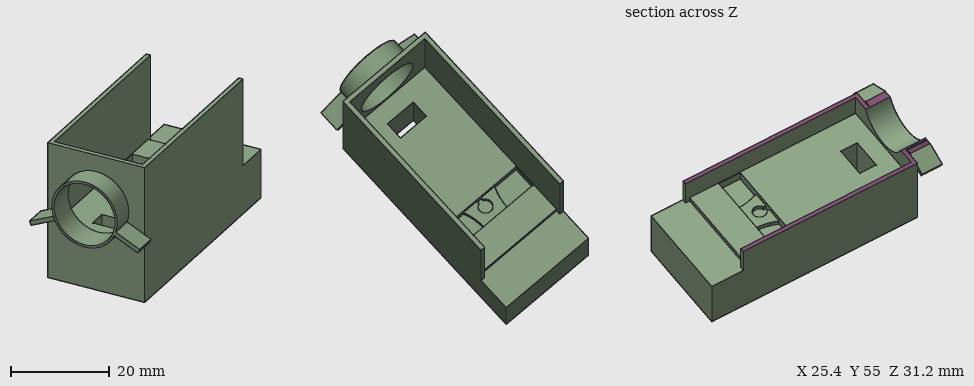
import cadquery as cq
import math

wall = 1.0
cavity_width = 20.3
cavity_length = 40.3
housing_width = cavity_width + 2 * wall
housing_length = 50.0
housing_height = 31.2
wall_length = cavity_length + 2 * wall
shelf_height = 11.2
floor_height = shelf_height + wall
cavity_rear = wall + cavity_length

window_width = 7.0
window_length = 4.0
window_front = 5.0

slot_width = 20.0
slot_length = 5.2
slot_depth = 2.0
slot_front = 29.1
slot_rear = slot_front + slot_length
slot_floor = floor_height - slot_depth
block_height = 1.0
block_rear_width = 6.3
block_front_width = 8.5
keyhole_diameter = 3.0
keyhole_neck = 1.2
keyhole_y = 31.05

bore_diameter = 14.0
collar_diameter = 15.0
collar_length = 5.0
bore_height = 19.9

overall_width = 25.35
wing_thickness = 1.0
wing_slope = math.radians(25)
wing_face_gap = 0.1
wing_collar_gap = 0.05
loose_wing_root = collar_diameter / 2 + wing_collar_gap
wing_tip = (overall_width / 2 - wing_thickness * math.sin(wing_slope)) / math.cos(wing_slope)



def box(width, front, rear, bottom, top):
    """Block centred on X between the given Y and Z limits."""
    return (
        cq.Workplane("XY", origin=(0, front, bottom))
        .box(width, rear - front, top - bottom, centered=(True, False, False))
    )


def make_tray():
    base = box(housing_width, 0, housing_length, 0, shelf_height)
    shell = box(housing_width, 0, wall_length, shelf_height, housing_height)
    cavity = box(cavity_width, wall, wall_length, shelf_height, housing_height)
    floor = box(cavity_width, wall, cavity_rear, shelf_height, floor_height)
    window = box(window_width, window_front, window_front + window_length, 0, floor_height)
    slot = box(slot_width, slot_front, slot_rear, slot_floor, floor_height)
    return base.union(shell.cut(cavity)).union(floor).cut(window).cut(slot)


def make_slot_block():
    """Block with concave flanks, upright at the rear, and a keyhole open to the front."""
    flare = (block_front_width - block_rear_width) / 2
    flank_radius = (slot_length**2 + flare**2) / (2 * flare)
    block = (
        cq.Workplane("XY", origin=(0, 0, slot_floor))
        .moveTo(-block_front_width / 2, slot_front)
        .radiusArc((-block_rear_width / 2, slot_rear), -flank_radius)
        .lineTo(block_rear_width / 2, slot_rear)
        .radiusArc((block_front_width / 2, slot_front), -flank_radius)
        .close()
        .extrude(block_height)
    )
    block_top = slot_floor + block_height
    eye = (
        cq.Workplane("XY", origin=(0, keyhole_y, slot_floor))
        .circle(keyhole_diameter / 2)
        .extrude(block_height)
    )
    neck = box(keyhole_neck, slot_front, keyhole_y, slot_floor, block_top)
    return block.cut(eye).cut(neck)


def front_cylinder(diameter, front, rear):
    """Cylinder along Y on the bore axis."""
    return (
        cq.Workplane("XZ", origin=(0, rear, bore_height))
        .circle(diameter / 2)
        .extrude(rear - front)
    )


def make_wing(side, root):
    """Plate from the given root distance outward, on the +X (side = 1) or -X (side = -1) flank."""

    def point(reach, rise):
        x = reach * math.cos(wing_slope) + rise * math.sin(wing_slope)
        z = rise * math.cos(wing_slope) - reach * math.sin(wing_slope)
        return (side * x, z)

    outline = [
        point(root, 0),
        point(wing_tip, 0),
        point(wing_tip, wing_thickness),
        point(root, wing_thickness),
    ]
    return (
        cq.Workplane("XZ", origin=(0, -wing_face_gap, bore_height))
        .polyline(outline)
        .close()
        .extrude(collar_length - wing_face_gap)
    )


collar = front_cylinder(collar_diameter, -collar_length, 0)
bore = front_cylinder(bore_diameter, -collar_length, wall)
fixed_wing = make_wing(1, bore_diameter / 2)
housing = make_tray().union(make_slot_block()).union(collar).union(fixed_wing).cut(bore)

loose_wing = make_wing(-1, loose_wing_root)

result = cq.Compound.makeCompound([housing.val(), loose_wing.val()])